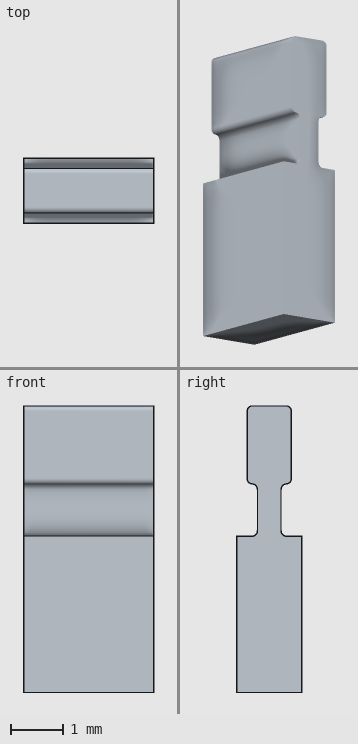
import cadquery as cq

width = 2.5
base_depth = 1.25
base_height = 3.0
neck_depth = 0.46
neck_height = 1.0
head_depth = 0.85
head_height = 1.5
edge_radius = 0.1

head_bottom = base_height + neck_height
head_top = head_bottom + head_height

half_base = base_depth / 2
half_neck = neck_depth / 2
half_head = head_depth / 2

overhang_middle = (half_neck + half_head) / 2


def make_contact():
    """Base block, narrow neck and wider head as one profile, constant along X."""
    half_profile = (
        cq.Workplane("YZ", origin=(-width / 2, 0, 0))
        .lineTo(half_base, 0)
        .lineTo(half_base, base_height)
        .lineTo(half_neck + edge_radius, base_height)
        .radiusArc((half_neck, base_height + edge_radius), edge_radius)
        .lineTo(half_neck, head_bottom - edge_radius)
        .radiusArc((overhang_middle, head_bottom), edge_radius)
        .radiusArc((half_head, head_bottom + edge_radius), -edge_radius)
        .lineTo(half_head, head_top - edge_radius)
        .radiusArc((half_head - edge_radius, head_top), -edge_radius)
        .lineTo(0, head_top)
    )
    return half_profile.mirrorY().extrude(width)


contact = make_contact()
result = cq.Compound.makeCompound([contact.val()])